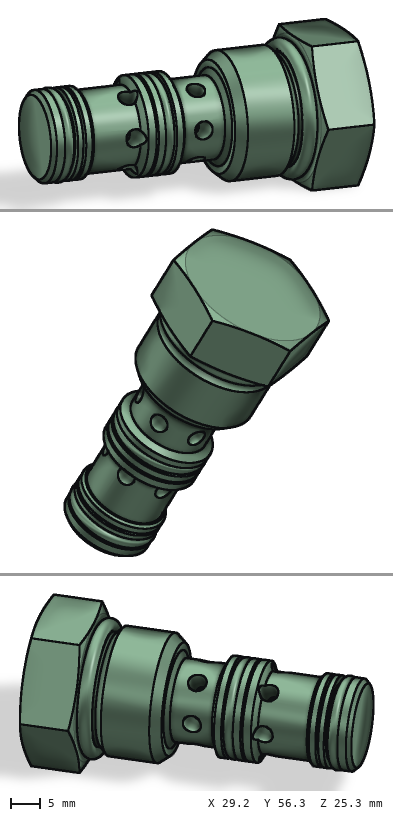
import cadquery as cq
import math

LENGTH = 56.3

HEX_FLATS = 25.3
HEX_DEPTH = 9.45
HEX_CORNER_DIAMETER = HEX_FLATS / math.cos(math.radians(30))
HEX_BEVEL_ANGLE = 15

NECK_DIAMETER = 19.65
NECK_END = 12.4
BODY_DIAMETER = 22.25
BODY_START = NECK_END + (BODY_DIAMETER - NECK_DIAMETER) / 2
BODY_CHAMFER_START = 22.15
BODY_END = 23.9
BODY_END_DIAMETER = 19.35

STEM_DIAMETER = 14.3
BODY_CONE_DIAMETER = 16.8
BODY_CONE_END = 24.65

MIDDLE_DIAMETER = 17.4
MIDDLE_CONE_START = 32.0
MIDDLE_START = 32.8
MIDDLE_GROOVE_START = 34.0
MIDDLE_GROOVE_END = 37.7
MIDDLE_GROOVE_DIAMETER = 14.85
MIDDLE_END = 39.2
MIDDLE_CONE_END = 40.0

NOSE_DIAMETER = 15.9
NOSE_SHOULDER_DIAMETER = 14.85
NOSE_CONE_START = 48.6
NOSE_START = NOSE_CONE_START + (NOSE_DIAMETER - NOSE_SHOULDER_DIAMETER) / 2
NOSE_GROOVE_START = 50.25
NOSE_GROOVE_END = 54.05
NOSE_GROOVE_DIAMETER = 13.3
NOSE_CHAMFER = 0.76

HEAD_RING_SECTION = 2.55
HEAD_RING = (24.05, HEAD_RING_SECTION, HEX_DEPTH + HEAD_RING_SECTION / 2)
MIDDLE_RING = (17.45, 1.8, 35.1)
NOSE_RING = (16.15, 1.8, 53.1)

MIDDLE_BACKUP = (MIDDLE_DIAMETER, MIDDLE_GROOVE_DIAMETER, 36.05, 37.35)
NOSE_BACKUP = (NOSE_DIAMETER, NOSE_GROOVE_DIAMETER, 50.75, 51.7)

PORT_DIAMETER = 3.15
PORT_DEPTHS = (28.5, 41.0)
PORTS_PER_ROW = 6


def turned(sections):
    """Solid of revolution about Y through (diameter, depth) corners."""
    corners = [(diameter / 2, LENGTH - depth) for diameter, depth in sections]
    axis_start = (0, corners[0][1])
    axis_end = (0, corners[-1][1])
    outline = cq.Workplane("XY").polyline([axis_start] + corners + [axis_end]).close()
    return outline.revolve(360, (0, 0, 0), (0, 1, 0))


def hex_head():
    """Hexagonal prism with both ends bevelled at the corners."""
    prism = (
        cq.Workplane("XZ", origin=(0, LENGTH, 0))
        .polygon(6, HEX_CORNER_DIAMETER)
        .extrude(HEX_DEPTH)
    )
    bevel = (HEX_CORNER_DIAMETER - HEX_FLATS) / 2 * math.tan(math.radians(HEX_BEVEL_ANGLE))
    envelope = turned([
        (HEX_FLATS, 0),
        (HEX_CORNER_DIAMETER, bevel),
        (HEX_CORNER_DIAMETER, HEX_DEPTH - bevel),
        (HEX_FLATS, HEX_DEPTH),
    ])
    return prism.intersect(envelope)


def shaft():
    """Body, stem and the two grooved seal sections."""
    return turned([
        (NECK_DIAMETER, HEX_DEPTH),
        (NECK_DIAMETER, NECK_END),
        (BODY_DIAMETER, BODY_START),
        (BODY_DIAMETER, BODY_CHAMFER_START),
        (BODY_END_DIAMETER, BODY_END),
        (BODY_CONE_DIAMETER, BODY_END),
        (STEM_DIAMETER, BODY_CONE_END),
        (STEM_DIAMETER, MIDDLE_CONE_START),
        (MIDDLE_DIAMETER, MIDDLE_START),
        (MIDDLE_DIAMETER, MIDDLE_GROOVE_START),
        (MIDDLE_GROOVE_DIAMETER, MIDDLE_GROOVE_START),
        (MIDDLE_GROOVE_DIAMETER, MIDDLE_GROOVE_END),
        (MIDDLE_DIAMETER, MIDDLE_GROOVE_END),
        (MIDDLE_DIAMETER, MIDDLE_END),
        (STEM_DIAMETER, MIDDLE_CONE_END),
        (STEM_DIAMETER, NOSE_CONE_START),
        (NOSE_SHOULDER_DIAMETER, NOSE_CONE_START),
        (NOSE_DIAMETER, NOSE_START),
        (NOSE_DIAMETER, NOSE_GROOVE_START),
        (NOSE_GROOVE_DIAMETER, NOSE_GROOVE_START),
        (NOSE_GROOVE_DIAMETER, NOSE_GROOVE_END),
        (NOSE_DIAMETER, NOSE_GROOVE_END),
        (NOSE_DIAMETER, LENGTH - NOSE_CHAMFER),
        (NOSE_DIAMETER - 2 * NOSE_CHAMFER, LENGTH),
    ])


def o_ring(outer_diameter, section, depth):
    """Ring of round section about Y."""
    center_radius = (outer_diameter - section) / 2
    return (
        cq.Workplane("XY")
        .center(-center_radius, LENGTH - depth)
        .circle(section / 2)
        .revolve(360, (center_radius, 0, 0), (center_radius, 1, 0))
    )


def backup_ring(outer_diameter, bore, start, end):
    """Flat ring of rectangular section about Y."""
    return (
        cq.Workplane("XZ", origin=(0, LENGTH - start, 0))
        .circle(outer_diameter / 2)
        .circle(bore / 2)
        .extrude(end - start)
    )


def port_row(depth):
    """Crossing drills, each passing right through and making two opposite ports."""
    drill = (
        cq.Workplane("YZ", origin=(0, LENGTH - depth, 0))
        .circle(PORT_DIAMETER / 2)
        .extrude(MIDDLE_DIAMETER / 2, both=True)
    )
    row = drill
    for index in range(1, PORTS_PER_ROW // 2):
        row = row.union(drill.rotate((0, 0, 0), (0, 1, 0), index * 360 / PORTS_PER_ROW))
    return row


result = hex_head().union(shaft())
for ring in (HEAD_RING, MIDDLE_RING, NOSE_RING):
    result = result.union(o_ring(*ring))
for ring in (MIDDLE_BACKUP, NOSE_BACKUP):
    result = result.union(backup_ring(*ring))
for port_depth in PORT_DEPTHS:
    result = result.cut(port_row(port_depth))